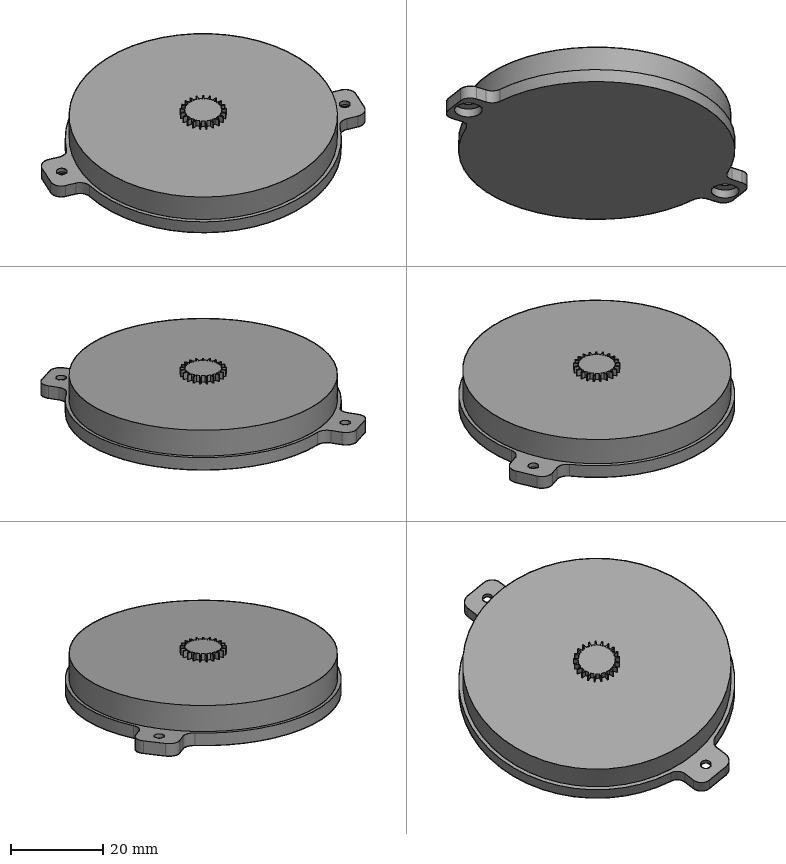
import cadquery as cq
import math

length = 73.15
height = 10.7

flange_diameter = 60.0
flange_height = 3.0
ear_width = 10.0
ear_radius = 2.5
hole_diameter = 2.3
hole_spacing = 66.0
counterbore_diameter = 6.0
ear_web_height = 1.0

housing_diameter = 58.3
gear_height = 1.5
housing_top = height - gear_height

tooth_count = 21
gear_tip_diameter = 10.0
gear_root_diameter = 8.05
tooth_root_width = 0.45
tooth_tip_width = 0.2


def make_flange():
    disc = cq.Workplane("XY").circle(flange_diameter / 2).extrude(flange_height)
    ears = (
        cq.Workplane("XY")
        .rect(ear_width, length)
        .extrude(flange_height)
        .edges("|Z")
        .fillet(ear_radius)
    )
    rim_y = math.sqrt((flange_diameter / 2) ** 2 - (ear_width / 2) ** 2)
    flange = disc.union(ears)
    for side_x in (-1, 1):
        for side_y in (-1, 1):
            corner = (side_x * ear_width / 2, side_y * rim_y, flange_height / 2)
            flange = flange.edges(cq.NearestToPointSelector(corner)).fillet(ear_radius)
    hole_centres = [(0, hole_spacing / 2), (0, -hole_spacing / 2)]
    counterbore_depth = flange_height - ear_web_height
    holes = cq.Workplane("XY").pushPoints(hole_centres).circle(hole_diameter / 2).extrude(flange_height)
    counterbores = (
        cq.Workplane("XY")
        .pushPoints(hole_centres)
        .circle(counterbore_diameter / 2)
        .extrude(counterbore_depth)
    )
    return flange.cut(holes).cut(counterbores)


def make_housing():
    return cq.Workplane("XY").circle(housing_diameter / 2).extrude(housing_top)


def make_gear():
    root_radius = gear_root_diameter / 2
    tip_radius = gear_tip_diameter / 2
    foot_radius = root_radius - tooth_root_width / 2
    tooth = (
        cq.Workplane("XY", origin=(0, 0, housing_top))
        .moveTo(-tooth_root_width / 2, foot_radius)
        .lineTo(-tooth_root_width / 2, root_radius)
        .lineTo(-tooth_tip_width / 2, tip_radius)
        .lineTo(tooth_tip_width / 2, tip_radius)
        .lineTo(tooth_root_width / 2, root_radius)
        .lineTo(tooth_root_width / 2, foot_radius)
        .close()
        .extrude(gear_height)
    )
    gear = cq.Workplane("XY", origin=(0, 0, housing_top)).circle(root_radius).extrude(gear_height)
    for index in range(tooth_count):
        angle = index * 360 / tooth_count
        gear = gear.union(tooth.rotate((0, 0, 0), (0, 0, 1), angle))
    return gear


result = make_flange().union(make_housing()).union(make_gear())